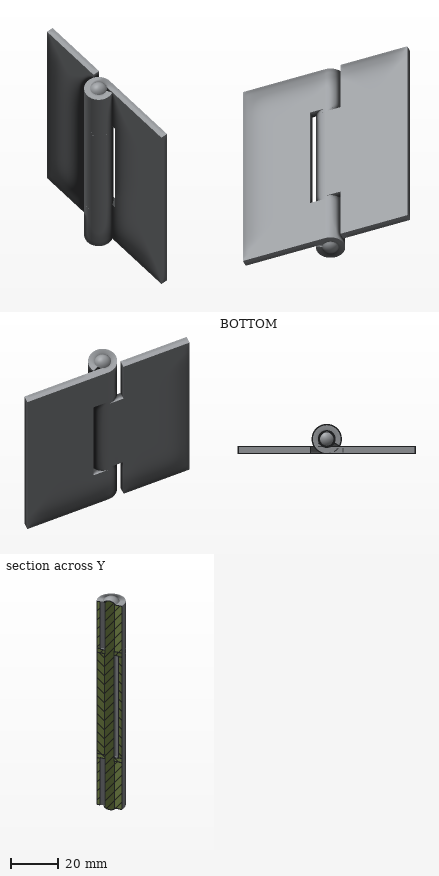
import cadquery as cq
import math

overall_length = 104.0
leaf_height = 100.0
hinge_width = 75.0
barrel_radius = 6.19
leaf_thickness = 3.1
leaf_gap_edge = 7.0
curl_end_angle = 28.0
middle_knuckle_length = 50.0
washer_thickness = 1.8
dome_base_radius = 3.5

pin_radius = barrel_radius - leaf_thickness
dome_height = (overall_length - leaf_height) / 2
half_width = hinge_width / 2
half_leaf = leaf_height / 2
half_middle = middle_knuckle_length / 2
half_notch = half_middle + washer_thickness
end_knuckle_length = half_leaf - half_notch


def polar(radius, degrees):
    angle = math.radians(degrees)
    return radius * math.cos(angle), radius * math.sin(angle)


def knuckle(bottom, length):
    """Strip that runs in from the cut-back edge and curls around the pin."""
    return (
        cq.Workplane("XY", origin=(0, 0, bottom))
        .moveTo(leaf_gap_edge, barrel_radius)
        .lineTo(0, barrel_radius)
        .threePointArc((0, -barrel_radius), polar(barrel_radius, curl_end_angle))
        .lineTo(*polar(pin_radius, curl_end_angle))
        .threePointArc((0, -pin_radius), (0, pin_radius))
        .lineTo(leaf_gap_edge, pin_radius)
        .close()
        .extrude(length)
    )


def plate():
    """Flat part of a leaf on the +X side."""
    return cq.Workplane("XY").box(
        half_width - leaf_gap_edge, leaf_thickness, leaf_height
    ).translate((
        (half_width + leaf_gap_edge) / 2,
        (barrel_radius + pin_radius) / 2,
        0,
    ))


def outer_leaf():
    """Leaf on the +X side with a knuckle at each end."""
    leaf = plate()
    for bottom in (-half_leaf, half_notch):
        leaf = leaf.union(knuckle(bottom, end_knuckle_length))
    return leaf


def middle_leaf():
    """Leaf on the -X side with one knuckle between the washers."""
    leaf = plate().union(knuckle(-half_middle, middle_knuckle_length))
    return leaf.mirror("YZ")


def washer(bottom):
    """Spacer ring between two knuckles."""
    return (
        cq.Workplane("XY", origin=(0, 0, bottom))
        .circle(barrel_radius)
        .circle(pin_radius)
        .extrude(washer_thickness)
    )


def hinge_pin():
    """Round pin with a spherical dome standing out of each end of the barrel."""
    half_length = overall_length / 2
    dome_radius = (dome_base_radius**2 + dome_height**2) / (2 * dome_height)
    middle_drop = dome_height / 2
    middle_radius = math.sqrt(2 * dome_radius * middle_drop - middle_drop**2)
    middle_height = half_length - middle_drop
    return (
        cq.Workplane("XZ")
        .moveTo(0, -half_length)
        .threePointArc((middle_radius, -middle_height), (dome_base_radius, -half_leaf))
        .lineTo(pin_radius, -half_leaf)
        .lineTo(pin_radius, half_leaf)
        .lineTo(dome_base_radius, half_leaf)
        .threePointArc((middle_radius, middle_height), (0, half_length))
        .close()
        .revolve(360, (0, 0, 0), (0, 1, 0))
    )


right_leaf = outer_leaf()
left_leaf = middle_leaf()
pin = hinge_pin()
washers = [washer(bottom) for bottom in (-half_notch, half_middle)]

result = cq.Compound.makeCompound([
    right_leaf.val(),
    left_leaf.val(),
    pin.val(),
    *[ring.val() for ring in washers],
])